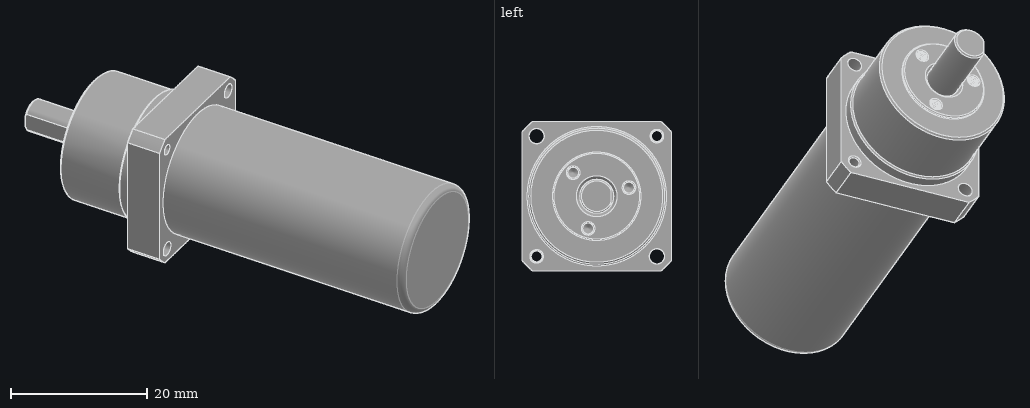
import cadquery as cq
import math

total_length = 69.1
boss_face_x = 10.0
housing_face_x = 10.5
collar_face_x = 20.7
flange_face_x = 22.7
flange_thickness = 5.5

shaft_diameter = 5.0
shaft_tip_chamfer = 0.25
shaft_flat_length = 9.0
shaft_flat_offset = 2.1

boss_diameter = 13.0
boss_chamfer = 0.2
shaft_recess_diameter = 6.0
shaft_recess_depth = (shaft_recess_diameter - shaft_diameter) / 2

body_diameter = 20.0
housing_chamfer = 0.3
collar_diameter = 20.5
collar_chamfer = 0.25
rear_fillet = 1.0

flange_width = 22.0
flange_corner_diameter = 29.0
flange_bolt_circle = 25.0
clearance_hole_diameter = 2.2
clearance_hole_angles = (45, 225)
tapped_hole_angles = (135, 315)

face_bolt_circle = 9.8
face_hole_count = 3
face_hole_first_angle = 165.0
face_hole_depth = 3.0
face_thread_pitch = 0.35
face_thread_length = 2.1

thread_diameter = 2.0
tapped_hole_diameter = 1.6
drill_point_angle = 118.0


def cylinder(diameter, x_start, x_end):
    """Cylinder on the X axis between two stations."""
    return cq.Workplane("YZ", origin=(x_start, 0, 0)).circle(diameter / 2).extrude(x_end - x_start)


def cone(start_diameter, end_diameter, length, x, y=0.0, z=0.0):
    """Cone along +X, starting at the given point."""
    solid = cq.Solid.makeCone(
        start_diameter / 2, end_diameter / 2, length, cq.Vector(x, y, z), cq.Vector(1, 0, 0)
    )
    return cq.Workplane(obj=solid)


def on_circle(circle_diameter, angle):
    """Y and Z of a point on a circle about the X axis, at an angle in degrees from +Y."""
    radius = circle_diameter / 2
    return radius * math.cos(math.radians(angle)), radius * math.sin(math.radians(angle))


def make_shaft():
    """D-shaped shaft with a chamfered tip and its flat facing -Y."""
    shaft = cylinder(shaft_diameter, 0, housing_face_x + shaft_recess_depth)
    shaft = shaft.faces("<X").chamfer(shaft_tip_chamfer)
    flat_cut = cq.Workplane("XY").box(
        shaft_flat_length, shaft_diameter, shaft_diameter, centered=(False, False, True)
    )
    return shaft.cut(flat_cut.translate((0, -shaft_flat_offset - shaft_diameter, 0)))


def make_body():
    """Gearbox housing, boss, locating collar and motor can as one round body."""
    body = cylinder(body_diameter, housing_face_x, total_length)
    body = body.faces("<X").chamfer(housing_chamfer)
    body = body.faces(">X").edges().fillet(rear_fillet)
    boss = cylinder(boss_diameter, boss_face_x, collar_face_x).faces("<X").chamfer(boss_chamfer)
    collar = cylinder(collar_diameter, collar_face_x, flange_face_x + flange_thickness)
    collar = collar.faces("<X").chamfer(collar_chamfer)
    return body.union(boss).union(collar)


def make_flange():
    """Square mounting flange with its corners rounded about the X axis."""
    flange = cq.Workplane("YZ", origin=(flange_face_x, 0, 0)).rect(flange_width, flange_width)
    turned_blank = cylinder(flange_corner_diameter, flange_face_x, flange_face_x + flange_thickness)
    return flange.extrude(flange_thickness).intersect(turned_blank)


def drill(diameter, x, y, z, depth):
    """Straight hole cutter running along +X."""
    return cylinder(diameter, x, x + depth).translate((0, y, z))


def tapped_hole(x, y, z, depth):
    """Countersunk hole cutter with a straight bore."""
    countersink_depth = (thread_diameter - tapped_hole_diameter) / 2
    countersink = cone(thread_diameter, tapped_hole_diameter, countersink_depth, x, y, z)
    return drill(tapped_hole_diameter, x, y, z, depth).union(countersink)


def cut_flange_holes(part):
    """Clearance holes on one diagonal, tapped through holes on the other."""
    for angle in clearance_hole_angles:
        y, z = on_circle(flange_bolt_circle, angle)
        part = part.cut(drill(clearance_hole_diameter, flange_face_x, y, z, flange_thickness))
    for angle in tapped_hole_angles:
        y, z = on_circle(flange_bolt_circle, angle)
        part = part.cut(tapped_hole(flange_face_x, y, z, flange_thickness))
    return part


def threaded_hole_cutter():
    """Axial blind hole with ring-shaped thread grooves and a drill point, as one turned cutter."""
    bore_radius = tapped_hole_diameter / 2
    root_radius = thread_diameter / 2
    half_pitch = face_thread_pitch / 2
    groove_count = round(face_thread_length / face_thread_pitch)
    bore_end_x = boss_face_x + face_hole_depth
    point_length = bore_radius / math.tan(math.radians(drill_point_angle / 2))

    profile = cq.Workplane("XY").moveTo(boss_face_x, 0).lineTo(boss_face_x, root_radius)
    for index in range(groove_count):
        root_x = boss_face_x + index * face_thread_pitch
        profile = profile.lineTo(root_x + half_pitch, bore_radius)
        if index < groove_count - 1:
            profile = profile.lineTo(root_x + face_thread_pitch, root_radius)
    profile = profile.lineTo(bore_end_x, bore_radius).lineTo(bore_end_x + point_length, 0).close()
    return profile.revolve(360, (0, 0, 0), (1, 0, 0))


def cut_face_holes(part):
    """Blind threaded holes, evenly spaced round the shaft."""
    threaded_hole = threaded_hole_cutter()
    for index in range(face_hole_count):
        y, z = on_circle(face_bolt_circle, face_hole_first_angle + index * 360 / face_hole_count)
        part = part.cut(threaded_hole.translate((0, y, z)))
    return part


body = make_body().union(make_flange())
body = body.cut(cone(shaft_recess_diameter, shaft_diameter, shaft_recess_depth, boss_face_x))
body = cut_flange_holes(body)
body = cut_face_holes(body)

result = body.union(make_shaft())